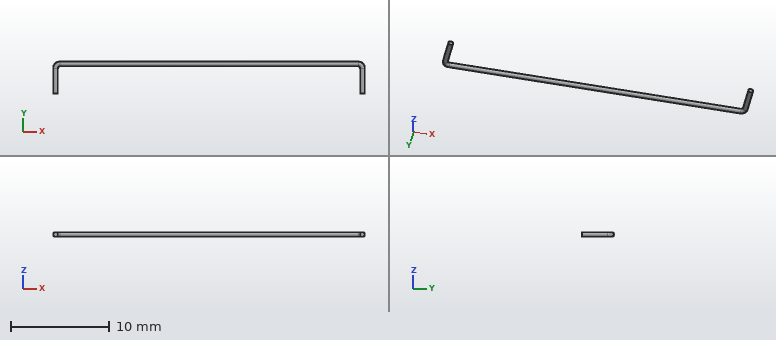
import cadquery as cq

length = 31.7
depth = 3.25
wire_diameter = 0.5
bend_radius = 0.45

wire_radius = wire_diameter / 2
leg_x = length / 2 - wire_radius
leg_tip_y = -depth / 2
bar_y = depth / 2 - wire_radius
bend_start_y = bar_y - bend_radius
bar_end_x = leg_x - bend_radius

centreline = (
    cq.Workplane("XY")
    .moveTo(-leg_x, leg_tip_y)
    .lineTo(-leg_x, bend_start_y)
    .tangentArcPoint((-bar_end_x, bar_y), relative=False)
    .lineTo(bar_end_x, bar_y)
    .tangentArcPoint((leg_x, bend_start_y), relative=False)
    .lineTo(leg_x, leg_tip_y)
)

leg_tip_plane = cq.Plane(origin=(-leg_x, leg_tip_y, 0), xDir=(1, 0, 0), normal=(0, 1, 0))
result = cq.Workplane(leg_tip_plane).circle(wire_radius).sweep(centreline)